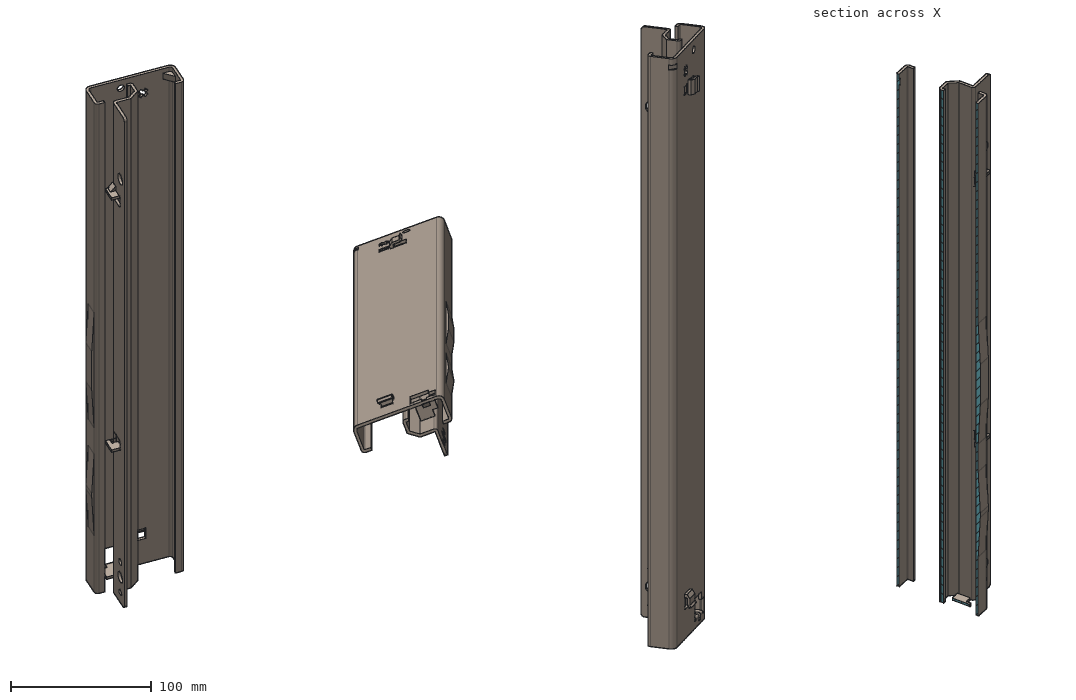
import cadquery as cq
import math

LENGTH = 450.0
SHEET = 2.2
GUSSET_WIDTH = 5.5
GUSSET_DENT_WIDTH = 3.5
GUSSET_DENT_LEG = 5.0
TAB_GUSSET_LEG = 4.0

CHANNEL_DEPTH = 21.0
CHANNEL_WIDTH = 69.0
CHANNEL_BEND = 4.28
LIP_BEND = 2.5
LIP_HEIGHT = 7.0

PAD_HEIGHT = 2.0
PAD_LEFT = 7.5
PAD_RIGHT = CHANNEL_DEPTH - LIP_BEND
PAD_STATIONS = [(52.0, 87.8, 91.5, 127.0), (151.0, 186.5, 222.0, 257.0)]

HOOK_WIDTH = 11.2
HOOK_REACH = 5.5
HOOK_BODY = 4.0
HOOK_SHEET = 2.0
HOOK_DROP = 10.5
HOOK_HOLE_WIDTH = 9.0
HOOK_HOLE_LENGTH = 9.5
HOOK_HOLE_START = 2.5
UPPER_HOOK_ROOT = 39.5
UPPER_HOOK_Z = 418.0
LOWER_HOOK_ROOT = 34.5
LOWER_HOOK_Y = 42.5

RECESS_DEPTH = 1.0
RECESS_LENGTH = 7.0
RECESS_HEIGHT = 6.5
RECESS_Y = 44.5

ROUND_HOLE = 5.5
ROUND_HOLE_Y = 27.5
ROUND_HOLE_Z = 442.5
CROSS_LENGTH = 7.5
CROSS_SLOT = 2.5
CROSS_Y = 44.5
CROSS_Z = 432.5

WINDOW_BOTTOM = 5.5
WINDOW_TOP = 23.0
WINDOW_STEP_Z = 17.0
WINDOW_LEFT = 24.8
WINDOW_STEP_Y = 11.0
WINDOW_RIGHT = 5.5
STOP_REACH = 15.0
STOP_STEP_X = 10.0
STOP_LEFT = 22.0
STOP_STEP_Y = 11.2
STOP_RIGHT = 7.0
TAB_BEND = 2.0
STOP_GUSSET_Y = 14.0

BEND_GUSSET_LEG = 6.8
BEND_GUSSET_Z = 443.2

RAIL_RIGHT = 44.0
FLANGE_BACK = 15.0
RAIL_WALL = 24.5
RAIL_TOP = 33.8
RAIL_LIP_X = 8.0
RAIL_LIP_END = 29.2
SLOPE_LEFT = 18.5
SLOPE_BOTTOM = 26.0
RAIL_BEND = 2.2
FLANGE_CORNER = 2.5

FLANGE_HOLE_X = 36.5
LARGE_HOLE = 8.5
SMALL_HOLE = 5.0
LARGE_HOLE_Z = [23.5, 389.2]
SMALL_HOLE_Z = 37.5
OVAL_HOLE_Z = 9.5
OVAL_HEIGHT = 3.5
LATCH_LEFT = 23.5
LATCH_RIGHT = 36.5
LATCH_TAB_RIGHT = 34.5
LATCH_HEIGHT = 7.5
LATCH_CORNER = 2.2
LATCH_FRONT = 6.8
LATCH_GUSSET_X = 25.5
UPPER_LATCH_Z = 372.5
LOWER_LATCH_Z = 138.5


def box(x0, x1, y0, y1, z0, z1):
    """Axis-aligned block between two opposite corners."""
    return cq.Workplane("XY").box(x1 - x0, y1 - y0, z1 - z0, centered=False).translate((x0, y0, z0))


def wedge(corner, first, second, leg, width):
    """Triangular prism with its right angle at a corner and its legs along two directions."""
    origin = cq.Vector(*corner)
    along = cq.Vector(*first)
    plane = cq.Plane(origin=origin, xDir=along, normal=along.cross(cq.Vector(*second)))
    triangle = cq.Workplane(plane).polyline([(0, 0), (leg, 0), (0, leg)]).close()
    return triangle.extrude(width / 2, both=True)


def press_gusset(body, corner, first, second, leg):
    """Press a gusset into a bend; the corner is the inner one and the directions point into it."""
    body = body.union(wedge(corner, first, second, leg, GUSSET_WIDTH))
    outer = [c - SHEET * (a + b) for c, a, b in zip(corner, first, second)]
    return body.cut(wedge(outer, first, second, GUSSET_DENT_LEG, GUSSET_DENT_WIDTH))


def channel_section():
    """Lipped C-section, open towards +X."""
    outer = box(0, CHANNEL_DEPTH, 0, CHANNEL_WIDTH, 0, LENGTH)
    outer = outer.edges("|Z and <X").fillet(CHANNEL_BEND).edges("|Z and >X").fillet(LIP_BEND)
    inner = box(SHEET, CHANNEL_DEPTH - SHEET, SHEET, CHANNEL_WIDTH - SHEET, 0, LENGTH)
    inner = inner.edges("|Z and <X").fillet(CHANNEL_BEND - SHEET)
    inner = inner.edges("|Z and >X").fillet(LIP_BEND - SHEET)
    mouth_start = CHANNEL_DEPTH - SHEET
    mouth = box(mouth_start, CHANNEL_DEPTH, LIP_HEIGHT, CHANNEL_WIDTH - LIP_HEIGHT, 0, LENGTH)
    return outer.cut(inner).cut(mouth)


def flange_pad(bottom, flat_bottom, flat_top, top):
    """Pad that rises from the lower flange, runs flat and falls back."""
    outline = [(0, bottom), (-PAD_HEIGHT, flat_bottom), (-PAD_HEIGHT, flat_top), (0, top)]
    pad = cq.Workplane("YZ").polyline(outline).close().extrude(PAD_RIGHT - PAD_LEFT)
    return pad.translate((PAD_LEFT, 0, 0))


def hook():
    """Hook on the web with its root at the origin, hanging down -Z and centred on Y = 0."""
    shoulder = HOOK_BODY / 2
    inner = HOOK_BODY - HOOK_SHEET
    outline = [
        (0, 0),
        (-shoulder, 0),
        (-HOOK_BODY, -shoulder - HOOK_SHEET / 2),
        (-HOOK_BODY, SHEET - HOOK_DROP),
        (-HOOK_REACH, HOOK_SHEET / 2 - HOOK_DROP),
        (-HOOK_REACH + HOOK_SHEET, -HOOK_DROP),
        (-inner, SHEET - HOOK_DROP),
        (-inner, -shoulder - HOOK_SHEET / 2),
        (-shoulder + HOOK_SHEET / 2, -HOOK_HOLE_START),
        (0, -HOOK_HOLE_START),
    ]
    return cq.Workplane("XZ").polyline(outline).close().extrude(HOOK_WIDTH / 2, both=True)


def hook_hole():
    """Opening in the web behind and below a hook at the origin."""
    half = HOOK_HOLE_WIDTH / 2
    return box(0, SHEET, -half, half, -HOOK_HOLE_START - HOOK_HOLE_LENGTH, -HOOK_HOLE_START)


def place_lower(shape):
    """Move a shape built at the origin to the lower hook."""
    return shape.translate((0, LOWER_HOOK_Y, LOWER_HOOK_ROOT))


def place_upper(shape):
    """Turn a shape built hanging down so that it points to -Y, at the upper hook."""
    turned = shape.rotate((0, 0, 0), (1, 0, 0), -90)
    return turned.translate((0, UPPER_HOOK_ROOT, UPPER_HOOK_Z))


def cross_hole():
    """X-shaped hole through the web."""
    slot = box(0, SHEET, -CROSS_LENGTH / 2, CROSS_LENGTH / 2, -CROSS_SLOT / 2, CROSS_SLOT / 2)
    first = slot.rotate((0, 0, 0), (1, 0, 0), 45)
    second = slot.rotate((0, 0, 0), (1, 0, 0), -45)
    return first.union(second).translate((0, CROSS_Y, CROSS_Z))


def web_hole():
    """Round hole through the web."""
    hole = cq.Workplane("YZ").circle(ROUND_HOLE / 2).extrude(SHEET)
    return hole.translate((0, ROUND_HOLE_Y, ROUND_HOLE_Z))


def web_recess():
    """Shallow rectangular recess in the outer face of the web."""
    recess = cq.Workplane("YZ").rect(RECESS_LENGTH, RECESS_HEIGHT).extrude(RECESS_DEPTH)
    return recess.translate((0, RECESS_Y, UPPER_HOOK_Z))


def window():
    """Stepped window through the web."""
    tall = box(0, SHEET, WINDOW_STEP_Y, WINDOW_LEFT, WINDOW_BOTTOM, WINDOW_TOP)
    return tall.union(box(0, SHEET, WINDOW_RIGHT, WINDOW_LEFT, WINDOW_BOTTOM, WINDOW_STEP_Z))


def stop_tab():
    """Stepped tab folded in from the lower edge of the window."""
    top = WINDOW_BOTTOM + SHEET
    long_part = box(0, STOP_REACH, STOP_STEP_Y, STOP_LEFT, WINDOW_BOTTOM, top)
    tab = long_part.union(box(0, STOP_STEP_X, STOP_RIGHT, STOP_LEFT, WINDOW_BOTTOM, top))
    return tab.edges("|Y and <X and >Z").fillet(TAB_BEND)


def make_channel():
    body = channel_section()
    for stations in PAD_STATIONS:
        body = body.union(flange_pad(*stations))
    body = body.cut(place_lower(hook_hole())).cut(place_upper(hook_hole()))
    body = body.union(place_lower(hook())).union(place_upper(hook()))
    body = body.cut(web_recess()).cut(web_hole()).cut(cross_hole())
    body = body.cut(window()).union(stop_tab())
    stop_corner = (SHEET, STOP_GUSSET_Y, WINDOW_BOTTOM)
    body = press_gusset(body, stop_corner, (1, 0, 0), (0, 0, -1), TAB_GUSSET_LEG)
    bend_corner = (SHEET, CHANNEL_WIDTH - SHEET, BEND_GUSSET_Z)
    return press_gusset(body, bend_corner, (1, 0, 0), (0, -1, 0), BEND_GUSSET_LEG)


def rail_section():
    """Bent section: short lip, top, slope, wall and wide flange, all of one sheet."""
    fall = RAIL_TOP - SLOPE_BOTTOM
    turn = math.atan2(fall, RAIL_WALL - SLOPE_LEFT)
    top_shift = SHEET * math.tan(turn / 2)
    wall_shift = SHEET * math.tan((math.pi / 2 - turn) / 2)
    flange_front = FLANGE_BACK - SHEET
    outline = [
        (RAIL_LIP_X, RAIL_LIP_END),
        (RAIL_LIP_X, RAIL_TOP),
        (SLOPE_LEFT, RAIL_TOP),
        (RAIL_WALL, SLOPE_BOTTOM),
        (RAIL_WALL, FLANGE_BACK),
        (RAIL_RIGHT, FLANGE_BACK),
        (RAIL_RIGHT, flange_front),
        (RAIL_WALL - SHEET, flange_front),
        (RAIL_WALL - SHEET, SLOPE_BOTTOM - wall_shift),
        (SLOPE_LEFT - top_shift, RAIL_TOP - SHEET),
        (RAIL_LIP_X + SHEET, RAIL_TOP - SHEET),
        (RAIL_LIP_X + SHEET, RAIL_LIP_END),
    ]
    rail = cq.Workplane("XY").polyline(outline).close().extrude(LENGTH)
    bends = [(RAIL_LIP_X, RAIL_TOP), (RAIL_WALL - SHEET, flange_front)]
    for x, y in bends:
        rail = rail.edges(cq.NearestToPointSelector((x, y, LENGTH / 2))).fillet(RAIL_BEND)
    return rail.edges("|Y and >X").fillet(FLANGE_CORNER)


def flange_cutter(sketch, x, z):
    """Turn a flat outline in the XZ plane into a cutter through the flange."""
    return sketch.extrude(SHEET).translate((x, FLANGE_BACK, z))


def add_latch(rail, bend_z, side):
    """Tab folded to -Y at bend_z; side is +1 when its gusset is above it and -1 when below."""
    far_z = bend_z - side * (SHEET + LATCH_HEIGHT)
    low, high = sorted((bend_z, far_z))
    slot = box(LATCH_LEFT, LATCH_RIGHT, FLANGE_BACK - SHEET, FLANGE_BACK, low, high)
    slot = slot.edges("|Y and >X").fillet(LATCH_CORNER)
    low, high = sorted((bend_z, bend_z - side * SHEET))
    tab = box(LATCH_LEFT, LATCH_TAB_RIGHT, LATCH_FRONT, FLANGE_BACK, low, high)
    rail = rail.cut(slot).union(tab)
    corner = (LATCH_GUSSET_X, FLANGE_BACK - SHEET, bend_z)
    return press_gusset(rail, corner, (0, -1, 0), (0, 0, side), TAB_GUSSET_LEG)


def make_rail():
    rail = rail_section()
    for z in LARGE_HOLE_Z:
        rail = rail.cut(flange_cutter(cq.Workplane("XZ").circle(LARGE_HOLE / 2), FLANGE_HOLE_X, z))
    small = cq.Workplane("XZ").circle(SMALL_HOLE / 2)
    rail = rail.cut(flange_cutter(small, FLANGE_HOLE_X, SMALL_HOLE_Z))
    oval = cq.Workplane("XZ").slot2D(SMALL_HOLE, OVAL_HEIGHT)
    rail = rail.cut(flange_cutter(oval, FLANGE_HOLE_X, OVAL_HOLE_Z))
    rail = add_latch(rail, UPPER_LATCH_Z, 1)
    return add_latch(rail, LOWER_LATCH_Z, -1)


channel = make_channel()
rail = make_rail()
result = cq.Compound.makeCompound([channel.val(), rail.val()])